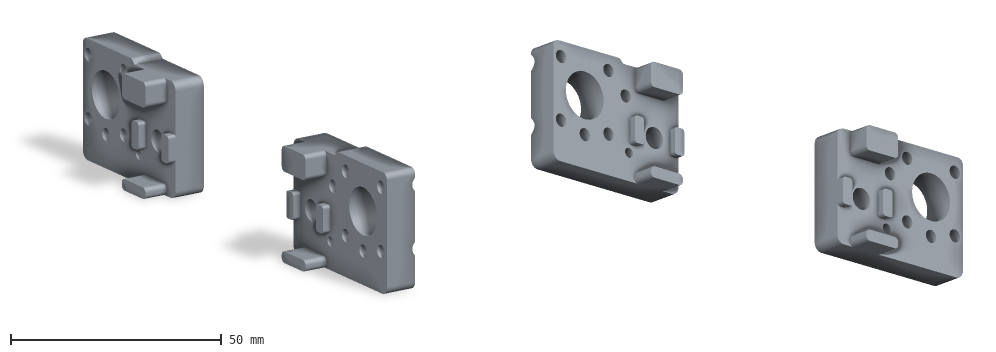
import cadquery as cq
import math

OVERALL_LENGTH = 130.0
OVERALL_DEPTH = 14.0
RIGHT_WIDTH = 39.9
LEFT_WIDTH = 39.6
INNER_EDGE = (OVERALL_LENGTH - LEFT_WIDTH - RIGHT_WIDTH) / 2
PLATE_HEIGHT = 30.3
PLATE_THICKNESS = 8.0

STEP_DROP = 1.2
STEP_INSET = 17.5
STEP_RADIUS = 1.3
LOW_TOP = PLATE_HEIGHT - STEP_DROP

CORNER_RADIUS = 2.1
OUTER_TOP_RADIUS = 1.5

BORE_DIAMETER = 12.0
BORE_INSET = 29.8
BORE_HEIGHT = 18.3
SCREW_DIAMETER = 3.2
SCREW_SPACING_X = 15.1
SCREW_SPACING_Z = 16.0
SINK_DIAMETER = 6.2
SINK_ANGLE = 65

LOWER_HOLE_DROP = 9.9
SIDE_HOLE_INSET = 16.8
SIDE_HOLE_HEIGHT = 21.2
AXLE_DIAMETER = 5.5
AXLE_INSET = 7.7
AXLE_HEIGHT = 12.7
PIN_DIAMETER = 2.5
PIN_INSET = 15.7
PIN_HEIGHT = 7.2

LONG_TAB_REACH = OVERALL_DEPTH - PLATE_THICKNESS
LONG_TAB_WIDTH = 10.1
LONG_TAB_INSET = 3.9
LONG_TAB_RADIUS = 1.2
UPPER_TAB_HEIGHT = 6.4
LOWER_TAB_HEIGHT = 2.9

SHORT_TAB_REACH = 2.1
SHORT_TAB_WIDTH = 3.0
SHORT_TAB_HEIGHT = 6.9
SHORT_TAB_RADIUS = 0.8
SHORT_TAB_INSETS = (0, 12.7)


def plate_blank(width):
    """Stepped plate with rounded corners."""
    outer_edge = INNER_EDGE + width
    slope_foot = INNER_EDGE + STEP_INSET
    slope_top = slope_foot + STEP_DROP
    blank = (
        cq.Workplane("XZ")
        .moveTo(INNER_EDGE, 0)
        .lineTo(outer_edge, 0)
        .lineTo(outer_edge, PLATE_HEIGHT)
        .lineTo(slope_top, PLATE_HEIGHT)
        .lineTo(slope_foot, LOW_TOP)
        .lineTo(INNER_EDGE, LOW_TOP)
        .close()
        .extrude(PLATE_THICKNESS)
    )
    corners = [
        (INNER_EDGE, 0, CORNER_RADIUS),
        (INNER_EDGE, LOW_TOP, CORNER_RADIUS),
        (outer_edge, 0, CORNER_RADIUS),
        (outer_edge, PLATE_HEIGHT, OUTER_TOP_RADIUS),
        (slope_top, PLATE_HEIGHT, STEP_RADIUS),
    ]
    for x, z, radius in corners:
        corner = cq.selectors.NearestToPointSelector((x, -PLATE_THICKNESS / 2, z))
        blank = blank.edges(corner).fillet(radius)
    return blank


def through_hole(x, z, diameter):
    """Cylinder that spans the plate thickness."""
    return cq.Workplane("XZ").center(x, z).circle(diameter / 2).extrude(PLATE_THICKNESS)


def countersunk_hole(x, z):
    """Screw hole that widens to a cone at the back of the plate."""
    widening = (SINK_DIAMETER - SCREW_DIAMETER) / 2
    sink_depth = widening / math.tan(math.radians(SINK_ANGLE / 2))
    cone = cq.Solid.makeCone(
        SINK_DIAMETER / 2, SCREW_DIAMETER / 2, sink_depth, cq.Vector(x, 0, z), cq.Vector(0, -1, 0)
    )
    return through_hole(x, z, SCREW_DIAMETER).union(cq.Workplane(cone))


def cut_holes(plate):
    """Cut the plain holes and the four countersunk holes."""
    bore_x = INNER_EDGE + BORE_INSET
    plain_holes = [
        (bore_x, BORE_HEIGHT, BORE_DIAMETER),
        (bore_x, BORE_HEIGHT - LOWER_HOLE_DROP, SCREW_DIAMETER),
        (INNER_EDGE + SIDE_HOLE_INSET, SIDE_HOLE_HEIGHT, SCREW_DIAMETER),
        (INNER_EDGE + AXLE_INSET, AXLE_HEIGHT, AXLE_DIAMETER),
        (INNER_EDGE + PIN_INSET, PIN_HEIGHT, PIN_DIAMETER),
    ]
    for x, z, diameter in plain_holes:
        plate = plate.cut(through_hole(x, z, diameter))
    for x in (bore_x - SCREW_SPACING_X / 2, bore_x + SCREW_SPACING_X / 2):
        for z in (BORE_HEIGHT - SCREW_SPACING_Z / 2, BORE_HEIGHT + SCREW_SPACING_Z / 2):
            plate = plate.cut(countersunk_hole(x, z))
    return plate


def tab(inset, bottom, width, height, reach, radius):
    """Block with rounded corners that stands on the front face."""
    return (
        cq.Workplane("XZ", origin=(INNER_EDGE + inset, -PLATE_THICKNESS, bottom))
        .rect(width, height, centered=False)
        .extrude(reach)
        .edges("|Y")
        .fillet(radius)
    )


def add_tabs(plate):
    """Join the two long and the two short tabs to the plate."""
    long_tabs = [(0, LOWER_TAB_HEIGHT), (LOW_TOP - UPPER_TAB_HEIGHT, UPPER_TAB_HEIGHT)]
    for bottom, height in long_tabs:
        plate = plate.union(
            tab(LONG_TAB_INSET, bottom, LONG_TAB_WIDTH, height, LONG_TAB_REACH, LONG_TAB_RADIUS)
        )
    short_tab_bottom = AXLE_HEIGHT - SHORT_TAB_HEIGHT / 2
    for inset in SHORT_TAB_INSETS:
        plate = plate.union(
            tab(inset, short_tab_bottom, SHORT_TAB_WIDTH, SHORT_TAB_HEIGHT, SHORT_TAB_REACH, SHORT_TAB_RADIUS)
        )
    return plate


def clamp_plate(width):
    """Complete plate on the +X side."""
    return add_tabs(cut_holes(plate_blank(width)))


right_plate = clamp_plate(RIGHT_WIDTH)
left_plate = clamp_plate(LEFT_WIDTH).mirror("YZ")

result = cq.Compound.makeCompound([left_plate.val(), right_plate.val()])